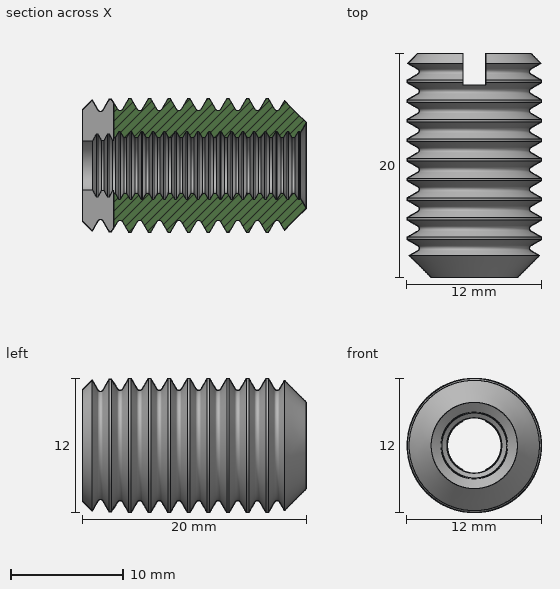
import cadquery as cq
import math

length = 20.0
outer_radius = 6.0
nose_radius = 3.85
tail_chamfer = 0.94

flank_angle = math.radians(30)

outer_pitch = 1.75
outer_crest_flat = outer_pitch / 8
outer_root_fillet = outer_pitch * math.sqrt(3) / 12
outer_groove_count = 10
outer_first_groove = 1.5 * outer_pitch

bore_radius = 2.4585
inner_pitch = 1.0
inner_root_radius = 3.0
inner_crest_flat = inner_pitch / 4
inner_groove_count = 19
inner_first_groove = 0.67

lip_radius = 2.387

countersink_half_angle = math.radians(60)

slot_width = 2.0
slot_depth = 2.8


def revolve_about_axis(profile):
    """Revolve a closed (radius, y) profile about the Y axis."""
    return profile.revolve(360, (0, 0, 0), (0, 1, 0))


def make_blank():
    """Solid body, tapered at the nose and chamfered at the tail."""
    nose_length = outer_radius - nose_radius
    profile = cq.Workplane("XY").polyline([
        (0, 0),
        (nose_radius, 0),
        (outer_radius, nose_length),
        (outer_radius, length - tail_chamfer),
        (outer_radius - tail_chamfer, length),
        (0, length),
    ]).close()
    return revolve_about_axis(profile)


def make_outer_groove(center_y):
    """V groove with 60 degree flanks, tangent to a rounded root."""
    half_mouth = (outer_pitch - outer_crest_flat) / 2
    vee_radius = outer_radius - half_mouth / math.tan(flank_angle)
    arc_center_radius = vee_radius + outer_root_fillet / math.sin(flank_angle)
    root_radius = arc_center_radius - outer_root_fillet
    tangent_radius = arc_center_radius - outer_root_fillet * math.sin(flank_angle)
    half_root = outer_root_fillet * math.cos(flank_angle)
    profile = (
        cq.Workplane("XY")
        .moveTo(outer_radius, center_y - half_mouth)
        .lineTo(tangent_radius, center_y - half_root)
        .threePointArc((root_radius, center_y), (tangent_radius, center_y + half_root))
        .lineTo(outer_radius, center_y + half_mouth)
        .close()
    )
    return revolve_about_axis(profile)


def cut_outer_thread(body):
    """Cut the row of outer grooves."""
    for index in range(outer_groove_count):
        body = body.cut(make_outer_groove(outer_first_groove + index * outer_pitch))
    return body


def cut_countersink(body):
    """Cut the cone that opens the nose end of the bore."""
    depth = nose_radius / math.tan(countersink_half_angle)
    profile = cq.Workplane("XY").polyline([(0, 0), (nose_radius, 0), (0, depth)]).close()
    return body.cut(revolve_about_axis(profile))


def cut_threaded_bore(body):
    """Cut the through bore with its flat-rooted grooves and the lip at the tail."""
    half_mouth = (inner_pitch - inner_crest_flat) / 2
    half_root = half_mouth - (inner_root_radius - bore_radius) * math.tan(flank_angle)
    outline = [(0, 0), (bore_radius, 0)]
    for index in range(inner_groove_count):
        center_y = inner_first_groove + index * inner_pitch
        outline += [
            (bore_radius, center_y - half_mouth),
            (inner_root_radius, center_y - half_root),
            (inner_root_radius, center_y + half_root),
            (bore_radius, center_y + half_mouth),
        ]
    outline.pop()
    lip_start = center_y + half_mouth + (bore_radius - lip_radius) * math.tan(flank_angle)
    outline += [(lip_radius, lip_start), (lip_radius, length), (0, length)]
    return body.cut(revolve_about_axis(cq.Workplane("XY").polyline(outline).close()))


def cut_slot(body):
    """Cut the open slot through the tail face."""
    slot = cq.Workplane("XY").box(slot_width, slot_depth, 2 * outer_radius)
    return body.cut(slot.translate((0, length - slot_depth / 2, 0)))


result = make_blank()
result = cut_outer_thread(result)
result = cut_countersink(result)
result = cut_threaded_bore(result)
result = cut_slot(result)